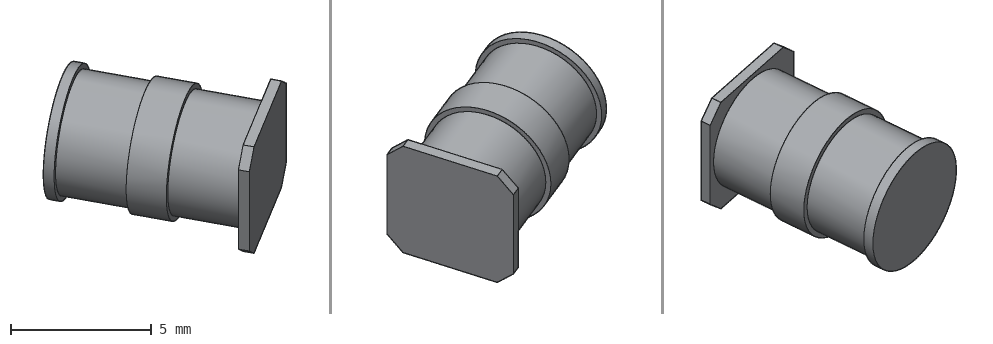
import cadquery as cq

length = 7.6
outer_size = 5.0
body_diameter = 4.6
end_thickness = 0.4
band_width = 1.48
corner_chamfer = 0.64


def cylinder(start_x, width, diameter):
    """Cylinder along X that begins at start_x."""
    return cq.Workplane("YZ").workplane(offset=start_x).circle(diameter / 2).extrude(width)


body = cylinder(-length / 2, length, body_diameter)

end_disc = cylinder(-length / 2, end_thickness, outer_size)

middle_band = cylinder(-band_width / 2, band_width, outer_size)

end_plate = (
    cq.Workplane("YZ")
    .workplane(offset=length / 2 - end_thickness)
    .rect(outer_size, outer_size)
    .extrude(end_thickness)
    .edges("|X")
    .chamfer(corner_chamfer)
)

result = body.union(end_disc).union(middle_band).union(end_plate)